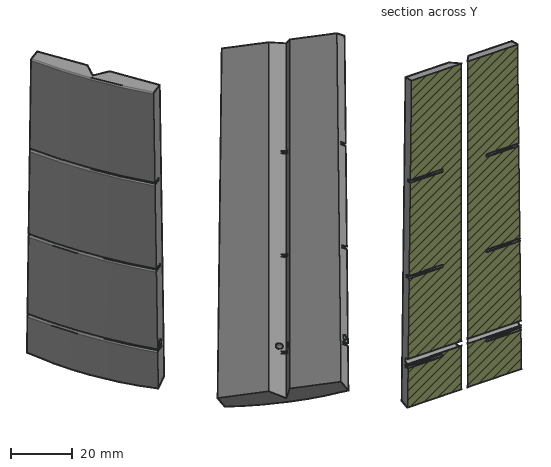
import cadquery as cq
import math

height = 118.96
thickness = 6.3
bottom_width = 47.21
top_width = 44.0

crown_rise = 1.65
half_width = bottom_width / 2
front_radius = (half_width**2 + crown_rise**2) / (2 * crown_rise)

bottom_bevel_rise = 2.8

v_width = 8.0
v_depth = 4.4

slot_height = 0.8
slot_depth = 2.9
slot_tops_below_top = (35.9, 70.3, 102.5)

edge_radius = 0.5

hole_diameter = 1.85
hole_below_top = 100.9
hole_from_back = 2.65

margin = 5.0


def make_front_cylinder(inset, z_bottom, z_top):
    """Solid cylinder whose surface lies `inset` behind the front face."""
    return (
        cq.Workplane("XY", origin=(0, front_radius, z_bottom))
        .circle(front_radius - inset)
        .extrude(z_top - z_bottom)
    )


def make_body():
    """Tapered plate with the curved front and the sloping bottom end."""
    outline = [
        (-half_width, 0),
        (half_width, 0),
        (top_width / 2, height),
        (-top_width / 2, height),
    ]
    plate = cq.Workplane("XZ").polyline(outline).close().extrude(-thickness)
    side_profile = [
        (0, 0),
        (thickness, bottom_bevel_rise),
        (thickness, height),
        (0, height),
    ]
    side = cq.Workplane("YZ").polyline(side_profile).close().extrude(half_width, both=True)
    return plate.intersect(side).intersect(make_front_cylinder(0, 0, height))


def make_v_groove():
    """V-shaped cutter along the back face."""
    corners = [
        (-v_width / 2, thickness),
        (0, thickness - v_depth),
        (v_width / 2, thickness),
    ]
    return cq.Workplane("XY").polyline(corners).close().extrude(height)


def make_slot(z_top):
    """Slot cutter whose floor is concentric with the front face."""
    z_bottom = z_top - slot_height
    block = cq.Workplane("XY").box(
        bottom_width + 2 * margin, thickness + margin, slot_height, centered=(True, False, False)
    )
    block = block.translate((0, -margin, z_bottom))
    return block.cut(make_front_cylinder(slot_depth, z_bottom, z_top))


def make_edge_rounding(z_edge):
    """Ring cutter that rounds the front edge of the panel ending at z_edge."""
    diagonal = edge_radius * math.sqrt(0.5)
    center_r = front_radius - edge_radius
    center_z = z_edge - edge_radius
    profile = (
        cq.Workplane("XZ")
        .moveTo(front_radius, center_z)
        .threePointArc((center_r + diagonal, center_z + diagonal), (center_r, z_edge))
        .lineTo(front_radius + margin, z_edge)
        .lineTo(front_radius + margin, center_z)
        .close()
    )
    ring = profile.revolve(360, (0, 0), (0, 1))
    return ring.translate((0, front_radius, 0))


def make_cross_hole():
    """Cylinder cutter through both long sides."""
    return (
        cq.Workplane("YZ")
        .center(thickness - hole_from_back, height - hole_below_top)
        .circle(hole_diameter / 2)
        .extrude(half_width + margin, both=True)
    )


result = make_body().cut(make_v_groove()).cut(make_edge_rounding(height))
for slot_drop in slot_tops_below_top:
    slot_top = height - slot_drop
    result = result.cut(make_slot(slot_top))
    result = result.cut(make_edge_rounding(slot_top - slot_height))
result = result.cut(make_cross_hole())